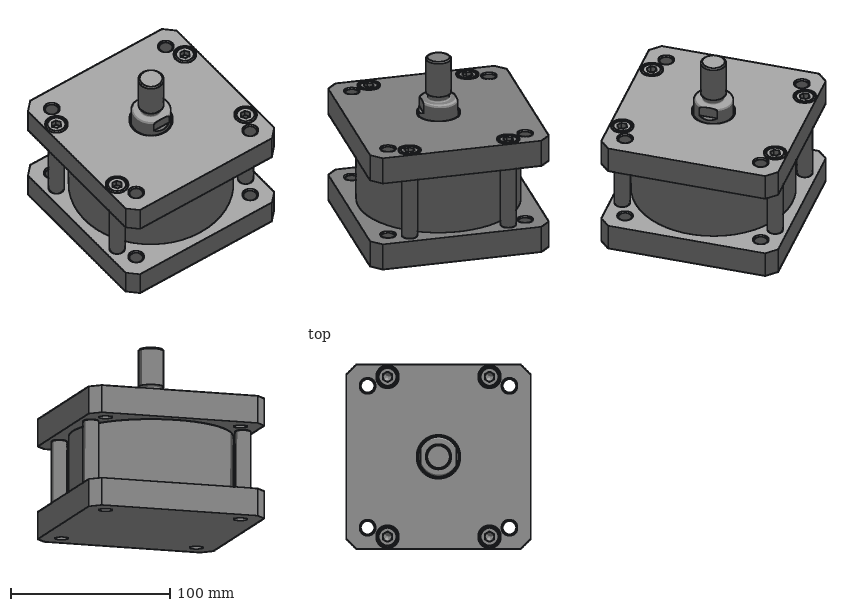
import cadquery as cq
import math

plate_side = 116.0
plate_corner_chamfer = 6.5
plate_thickness = 17.5
barrel_diameter = 103.6
barrel_height = 42.0
barrel_top_chamfer = 0.4
barrel_bottom_z = plate_thickness
top_plate_bottom_z = barrel_bottom_z + barrel_height
top_plate_top_z = top_plate_bottom_z + plate_thickness

mounting_hole_spacing = 89.0
mounting_hole_diameter = 8.38
mounting_hole_mouth_diameter = 10.11

total_height = 115.0
rod_diameter = 25.0
rod_bore_diameter = 25.6
rod_recess_diameter = 26.9
rod_recess_mouth_diameter = 27.6
rod_recess_depth = 1.0
shoulder_z = top_plate_top_z + 10.0
shoulder_fillet = 1.8
wrench_flat_width = 22.0
wrench_flat_bottom_z = top_plate_top_z + 3.0
stud_diameter = 16.0
stud_tip_diameter = 14.0
neck_diameter = 13.5
stud_bottom_z = shoulder_z + 4.0
neck_bottom_fillet = 0.75
neck_top_fillet = 1.6

bolt_spacing_x = 64.0
bolt_spacing_y = 100.3
bolt_shank_diameter = 10.0
bolt_shank_end_diameter = 8.9
bolt_head_diameter = 13.0
bolt_head_height = 8.0
bolt_head_chamfer = 1.0
bolt_recess_diameter = 13.5
bolt_recess_mouth_diameter = 14.4
hex_corner_diameter = 6.65
hex_across_flats = hex_corner_diameter * math.cos(math.pi / 6)
hex_depth = 4.0
hex_turn_angle = 30.0
hex_cone_angle = 120.0


def cylinder(diameter, bottom_z, height):
    return cq.Workplane("XY").workplane(offset=bottom_z).circle(diameter / 2).extrude(height)


def corner_points(spacing_x, spacing_y):
    return [(sx * spacing_x / 2, sy * spacing_y / 2) for sx in (-1, 1) for sy in (-1, 1)]


def chamfered_hole(diameter, mouth_diameter, bottom_z, top_z):
    """Cutter for a round hole with a 45 degree countersink at its top face."""
    chamfer = (mouth_diameter - diameter) / 2
    mouth = (
        cq.Workplane("XY")
        .workplane(offset=top_z - chamfer)
        .circle(diameter / 2)
        .workplane(offset=chamfer)
        .circle(mouth_diameter / 2)
        .loft()
    )
    return cylinder(diameter, bottom_z, top_z - bottom_z).union(mouth)


def make_plate(bottom_z):
    """Square plate with cut corners and four countersunk mounting holes."""
    plate = (
        cq.Workplane("XY")
        .workplane(offset=bottom_z)
        .rect(plate_side, plate_side)
        .extrude(plate_thickness)
        .edges("|Z")
        .chamfer(plate_corner_chamfer)
    )
    hole = chamfered_hole(
        mounting_hole_diameter, mounting_hole_mouth_diameter, bottom_z, bottom_z + plate_thickness
    )
    for x, y in corner_points(mounting_hole_spacing, mounting_hole_spacing):
        plate = plate.cut(hole.translate((x, y, 0)))
    return plate


def make_top_plate():
    """End plate with the recessed rod bore and a stepped hole for each tie bolt."""
    plate = make_plate(top_plate_bottom_z)
    rod_bore = cylinder(rod_bore_diameter, top_plate_bottom_z, plate_thickness)
    rod_recess = chamfered_hole(
        rod_recess_diameter,
        rod_recess_mouth_diameter,
        top_plate_top_z - rod_recess_depth,
        top_plate_top_z,
    )
    plate = plate.cut(rod_bore).cut(rod_recess)
    shank_hole = cylinder(bolt_shank_end_diameter, top_plate_bottom_z, plate_thickness)
    recess = chamfered_hole(
        bolt_recess_diameter,
        bolt_recess_mouth_diameter,
        top_plate_top_z - bolt_head_height,
        top_plate_top_z,
    )
    for x, y in corner_points(bolt_spacing_x, bolt_spacing_y):
        plate = plate.cut(shank_hole.union(recess).translate((x, y, 0)))
    return plate


def make_piston_rod():
    """Rod standing on the barrel, with wrench flats, a relief neck and a stud on top."""
    rod_radius = rod_diameter / 2
    stud_radius = stud_diameter / 2
    tip_radius = stud_tip_diameter / 2
    neck_radius = neck_diameter / 2
    diagonal = math.sqrt(0.5)

    flare_radius = neck_radius + neck_top_fillet * (1 - diagonal)
    flare_top_z = stud_bottom_z - (stud_radius - flare_radius)
    neck_flare_z = flare_top_z - neck_top_fillet * diagonal
    rod = (
        cq.Workplane("XZ")
        .moveTo(0, top_plate_bottom_z)
        .lineTo(rod_radius, top_plate_bottom_z)
        .lineTo(rod_radius, shoulder_z - shoulder_fillet)
        .threePointArc(
            (
                rod_radius - shoulder_fillet * (1 - diagonal),
                shoulder_z - shoulder_fillet * (1 - diagonal),
            ),
            (rod_radius - shoulder_fillet, shoulder_z),
        )
        .lineTo(neck_radius + neck_bottom_fillet, shoulder_z)
        .threePointArc(
            (
                neck_radius + neck_bottom_fillet * (1 - diagonal),
                shoulder_z + neck_bottom_fillet * (1 - diagonal),
            ),
            (neck_radius, shoulder_z + neck_bottom_fillet),
        )
        .lineTo(neck_radius, neck_flare_z)
        .tangentArcPoint((flare_radius, flare_top_z), relative=False)
        .lineTo(stud_radius, stud_bottom_z)
        .lineTo(stud_radius, total_height - (stud_radius - tip_radius))
        .lineTo(tip_radius, total_height)
        .lineTo(0, total_height)
        .close()
        .revolve(360, (0, 0, 0), (0, 1, 0))
    )
    flat_x = wrench_flat_width / 2
    run_out = rod_radius - flat_x
    flat_cutter = (
        cq.Workplane("XZ")
        .moveTo(flat_x, shoulder_z)
        .lineTo(flat_x, wrench_flat_bottom_z)
        .lineTo(flat_x + run_out, wrench_flat_bottom_z - run_out)
        .lineTo(flat_x + run_out, shoulder_z)
        .close()
        .extrude(rod_radius, both=True)
    )
    return rod.cut(flat_cutter).cut(flat_cutter.mirror("YZ"))


def make_tie_bolt(x, y):
    """Bolt with its head flush in the top plate and its thick shank between the plates."""
    head_bottom_z = top_plate_top_z - bolt_head_height
    shank_chamfer = (bolt_shank_diameter - bolt_shank_end_diameter) / 2
    head = cylinder(bolt_head_diameter, head_bottom_z, bolt_head_height)
    head = head.faces(">Z").chamfer(bolt_head_chamfer)
    stem = cylinder(bolt_shank_end_diameter, top_plate_bottom_z, head_bottom_z - top_plate_bottom_z)
    shank = cylinder(bolt_shank_diameter, barrel_bottom_z, barrel_height)
    shank = shank.faces("<Z or >Z").chamfer(shank_chamfer)

    socket_floor_z = top_plate_top_z - hex_depth
    socket = (
        cq.Workplane("XY")
        .workplane(offset=socket_floor_z)
        .polygon(6, hex_corner_diameter)
        .extrude(hex_depth)
        .rotate((0, 0, 0), (0, 0, 1), hex_turn_angle)
    )
    cone_radius = hex_across_flats / 2
    cone_depth = cone_radius / math.tan(math.radians(hex_cone_angle / 2))
    cone = cq.Workplane(
        cq.Solid.makeCone(
            cone_radius, 0, cone_depth, pnt=cq.Vector(0, 0, socket_floor_z), dir=cq.Vector(0, 0, -1)
        )
    )
    bolt = shank.union(stem).union(head).cut(socket).cut(cone)
    return bolt.translate((x, y, 0))


bottom_plate = make_plate(0)
barrel = cylinder(barrel_diameter, barrel_bottom_z, barrel_height)
barrel = barrel.faces(">Z").chamfer(barrel_top_chamfer)
top_plate = make_top_plate()
piston_rod = make_piston_rod()
tie_bolts = [make_tie_bolt(x, y) for x, y in corner_points(bolt_spacing_x, bolt_spacing_y)]

result = cq.Compound.makeCompound(
    [
        bottom_plate.val(),
        barrel.val(),
        top_plate.val(),
        piston_rod.val(),
        *[bolt.val() for bolt in tie_bolts],
    ]
)